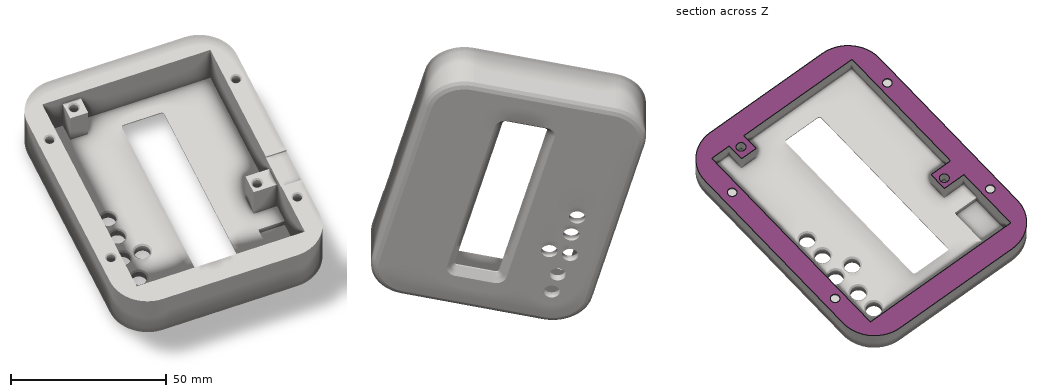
import cadquery as cq

length = 96.0
width = 73.0
height = 17.7
corner_radius = 13.1

bottom_chamfer = 1.4
bottom_edge_break = 0.8

cavity_length = 80.1
cavity_width = 58.6
floor_thickness = 3.0
cavity_back = cavity_width / 2
cavity_right = cavity_length / 2

pocket_length = 17.0
pocket_width = 9.2
pocket_floor = 1.0

notch_left = 7.0
notch_length = 13.1
notch_depth = 0.6

window_length = 65.5
window_width = 14.8
window_x = -0.2
window_y = 2.6
window_radius = 1.0
window_land = 0.5
window_flare = floor_thickness - window_land

button_diameter = 5.3
button_rim = 6.3
button_row_y = -22.9
button_row_x = (0.5, 8.3, 26.4, 34.2)
button_pair_x = 17.1
button_pair_y = (-17.9, -24.8)

screw_depth = 9.6
wall_screw_diameter = 3.0
wall_screw_rim = 3.8
wall_screw_x = 26.0
wall_screw_y = 32.4
post_screw_diameter = 3.1
post_screw_rim = 4.0
back_post_screw = (13.4, 23.6)
side_post_screw = (-37.4, -19.3)

post_top = 14.3
post_height = post_top - floor_thickness
back_post_left = 9.6
back_post_length = 6.9
back_post_width = 8.2
side_post_length = 6.2
side_post_width = 6.2
side_post_front = -22.1


def block(x, y, z, size_x, size_y, size_z):
    """Box given by its lowest corner and its sizes."""
    return cq.Workplane("XY").box(size_x, size_y, size_z, centered=False).translate((x, y, z))


def rounded_rectangle(size_x, size_y, radius):
    return cq.Sketch().rect(size_x, size_y).vertices().fillet(radius).reset()


def chamfered_hole(center, top, diameter, rim_diameter, depth):
    """Cutter for a vertical hole whose mouth at the top widens at 45 degrees."""
    radius = diameter / 2
    rim = rim_diameter / 2
    profile = [(0, 0), (rim, 0), (radius, radius - rim), (radius, -depth), (0, -depth)]
    cutter = cq.Workplane("XZ").polyline(profile).close().revolve(360, (0, 0), (0, 1))
    return cutter.translate((center[0], center[1], top))


def shell():
    body = cq.Workplane("XY").box(length, width, height, centered=(True, True, False))
    body = body.edges("|Z").fillet(corner_radius)
    body = body.faces("<Z").edges().chamfer(bottom_chamfer)
    body = body.faces("<Z").edges().chamfer(bottom_edge_break)
    cavity = block(-cavity_right, -cavity_back, floor_thickness, cavity_length, cavity_width, height)
    return body.cut(cavity)


def posts():
    back = block(back_post_left, cavity_back - back_post_width, floor_thickness,
                 back_post_length, back_post_width, post_height)
    side = block(-cavity_right, side_post_front, floor_thickness,
                 side_post_length, side_post_width, post_height)
    return back.union(side)


def floor_pocket():
    return block(cavity_right - pocket_length, cavity_back - pocket_width, pocket_floor,
                 pocket_length, pocket_width, floor_thickness - pocket_floor)


def wall_notch():
    wall = width / 2 - cavity_back
    return block(notch_left, cavity_back, height - notch_depth, notch_length, wall, notch_depth)


def display_window():
    """Cutter that narrows from the wide mouth at the outside to the throat, then runs straight."""
    mouth = rounded_rectangle(window_length + 2 * window_flare, window_width + 2 * window_flare,
                              window_radius + window_flare)
    throat = rounded_rectangle(window_length, window_width, window_radius)
    throat = throat.moved(cq.Location((0, 0, window_flare)))
    flare = cq.Workplane("XY").placeSketch(mouth, throat).loft(ruled=True)
    land = cq.Workplane("XY").placeSketch(throat).extrude(window_land)
    return flare.union(land).translate((window_x, window_y, 0))


result = shell().union(posts())
result = result.cut(floor_pocket()).cut(wall_notch()).cut(display_window())

button_centers = [(x, button_row_y) for x in button_row_x] + [(button_pair_x, y) for y in button_pair_y]
for center in button_centers:
    result = result.cut(chamfered_hole(center, floor_thickness, button_diameter, button_rim, floor_thickness))

for x in (-wall_screw_x, wall_screw_x):
    for y in (-wall_screw_y, wall_screw_y):
        result = result.cut(chamfered_hole((x, y), height, wall_screw_diameter, wall_screw_rim, screw_depth))

for center in (back_post_screw, side_post_screw):
    result = result.cut(chamfered_hole(center, post_top, post_screw_diameter, post_screw_rim, screw_depth))